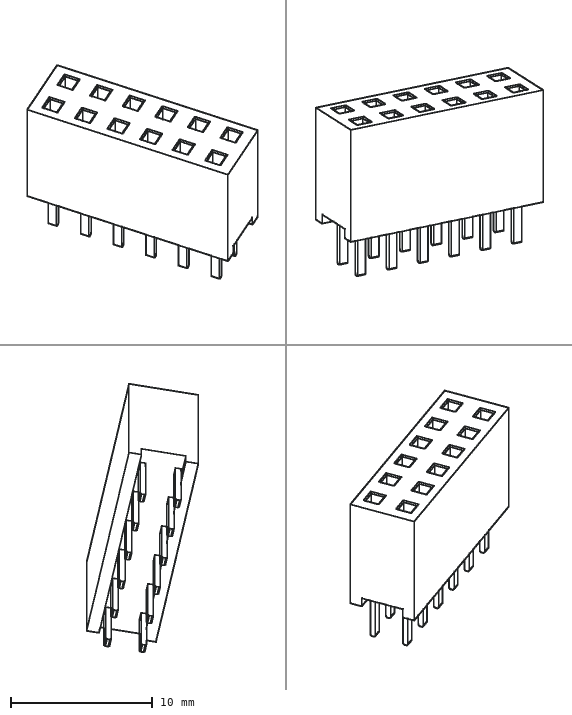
import cadquery as cq

columns = 6
rows = 2
pitch = 2.54

body_length = 15.65
body_width = 5.0
body_height = 8.5

channel_width = 3.2
channel_height = 0.7

socket_side = 1.0
socket_depth = 6.0
lead_in_width = 0.1
lead_in_depth = 0.1

pin_length_below_body = 3.2
pin_size_x = 0.64
pin_size_y = 0.4
pin_tip_chamfer = 0.1


def contact_positions():
    """Centres of all contacts, on a grid centred on the body."""
    first_x = -(columns - 1) * pitch / 2
    first_y = -(rows - 1) * pitch / 2
    return [
        (first_x + column * pitch, first_y + row * pitch)
        for column in range(columns)
        for row in range(rows)
    ]


def make_body():
    """Plain block with the channel cut through its full length."""
    centered_on_base = (True, True, False)
    block = cq.Workplane("XY").box(body_length, body_width, body_height, centered=centered_on_base)
    channel = cq.Workplane("XY").box(body_length, channel_width, channel_height, centered=centered_on_base)
    return block.cut(channel)


def make_socket():
    """Socket cavity on the Z axis, opening at the top of the body."""
    mouth_side = socket_side + 2 * lead_in_width
    well = cq.Workplane("XY", origin=(0, 0, body_height)).rect(socket_side, socket_side).extrude(-socket_depth)
    lead_in = (
        cq.Workplane("XY", origin=(0, 0, body_height))
        .rect(mouth_side, mouth_side)
        .workplane(offset=-lead_in_depth)
        .rect(socket_side, socket_side)
        .loft(ruled=True)
    )
    return well.union(lead_in)


def make_pin():
    """Pin on the Z axis, from its tip up to the roof of the channel."""
    pin_length = pin_length_below_body + channel_height
    return (
        cq.Workplane("XY", origin=(0, 0, -pin_length_below_body))
        .rect(pin_size_x, pin_size_y)
        .extrude(pin_length)
        .faces("<Z")
        .edges("|X")
        .chamfer(pin_tip_chamfer)
    )


result = make_body()
socket = make_socket()
pin = make_pin()
for x, y in contact_positions():
    result = result.cut(socket.translate((x, y, 0)))
    result = result.union(pin.translate((x, y, 0)))